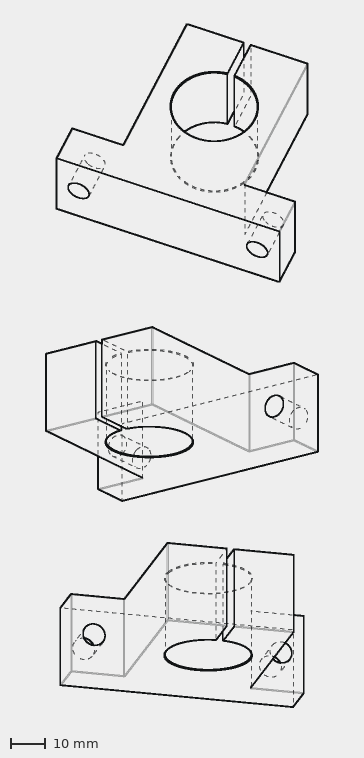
import cadquery as cq

base_width = 70.0
depth = 60.0
height = 24.0

base_thickness = 12.0
block_width = 38.0
bore_diameter = 25.0
bore_distance = 35.0
slit_width = 2.2
edge_radius = 0.25
inner_corner_radius = 0.25
bore_chamfer = 0.25

hole_diameter = 6.6
hole_spacing = 56.0


def make_body():
    """T-shaped body with its mounting face on Y = 0 and rounded inner corners."""
    base = cq.Workplane("XY").box(base_width, base_thickness, height, centered=(True, False, True))
    block = cq.Workplane("XY").box(block_width, depth, height, centered=(True, False, True))
    body = base.union(block)
    block_flanks = cq.selectors.BoxSelector(
        (-block_width, base_thickness / 2, -height),
        (block_width, base_thickness * 3 / 2, height),
    )
    outer_corners = cq.selectors.StringSyntaxSelector("<X or >X")
    inner_corners = body.edges("|Z").edges(block_flanks - outer_corners)
    return inner_corners.fillet(inner_corner_radius)


def round_edges(body):
    """Round the outline and its outer corners, leaving the mounting face sharp."""
    end_face_edges = body.faces("<Z or >Z").edges("not <Y")
    outer_corners = body.edges("|Z").edges(">Y or <X or >X").edges("not <Y")
    return end_face_edges.add(outer_corners).fillet(edge_radius)


def cut_bore(body):
    """Shaft bore through the block along Z, chamfered at both ends."""
    bore = cq.Workplane("XY").center(0, bore_distance).circle(bore_diameter / 2)
    bored = body.cut(bore.extrude(height, both=True))
    bore_rims = cq.selectors.BoxSelector(
        (-block_width / 4, base_thickness * 3 / 2, -height),
        (block_width / 4, depth - edge_radius * 2, height),
    )
    return bored.edges("%CIRCLE").edges(bore_rims).chamfer(bore_chamfer)


def cut_slit(body):
    """Clamping slit from the bore to the free end of the block."""
    slit_length = depth - bore_distance
    slit = cq.Workplane("XY").box(slit_width, slit_length, height, centered=(True, False, True))
    return body.cut(slit.translate((0, bore_distance, 0)))


def cut_mounting_holes(body):
    """Two plain holes through the flange."""
    holes = cq.Workplane("XZ").rarray(hole_spacing, 0.7, 2, 1).circle(hole_diameter / 2)
    return body.cut(holes.extrude(-base_thickness))


clamp = cut_bore(round_edges(make_body()))
result = cut_mounting_holes(cut_slit(clamp))